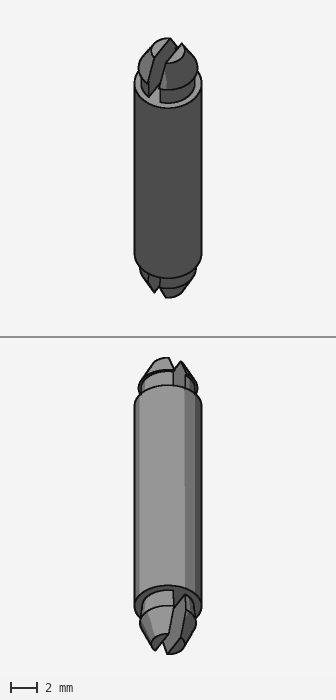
import cadquery as cq

total_length = 26.2
body_diameter = 5.0
body_length = 19.0

lower_tip_length = 2.0
lower_flare_length = 1.6
lower_root_diameter = 3.85
lower_barb_diameter = 4.2

upper_neck_length = 1.7
upper_neck_diameter = 4.0
upper_barb_diameter = 4.4

tip_diameter = 2.5
slot_width = 1.0

bottom_z = -total_length / 2
lower_barb_z = bottom_z + lower_tip_length
body_bottom_z = lower_barb_z + lower_flare_length
body_top_z = body_bottom_z + body_length
upper_barb_z = body_top_z + upper_neck_length
top_z = total_length / 2


def revolved_pin():
    """Solid of revolution holding the body and both unslotted snap ends."""
    profile = [
        (0, bottom_z),
        (tip_diameter / 2, bottom_z),
        (lower_barb_diameter / 2, lower_barb_z),
        (lower_root_diameter / 2, body_bottom_z),
        (body_diameter / 2, body_bottom_z),
        (body_diameter / 2, body_top_z),
        (upper_neck_diameter / 2, body_top_z),
        (upper_neck_diameter / 2, upper_barb_z),
        (upper_barb_diameter / 2, upper_barb_z),
        (tip_diameter / 2, top_z),
        (0, top_z),
    ]
    return cq.Workplane("XZ").polyline(profile).close().revolve(360, (0, 0), (0, 1))


def end_slot(start_z, end_z):
    """Cutter that splits a snap end into two prongs along Y."""
    return (
        cq.Workplane("XY", origin=(0, 0, start_z))
        .rect(slot_width, body_diameter)
        .extrude(end_z - start_z)
    )


result = revolved_pin()
for start_z, end_z in [(bottom_z, body_bottom_z), (body_top_z, top_z)]:
    result = result.cut(end_slot(start_z, end_z))